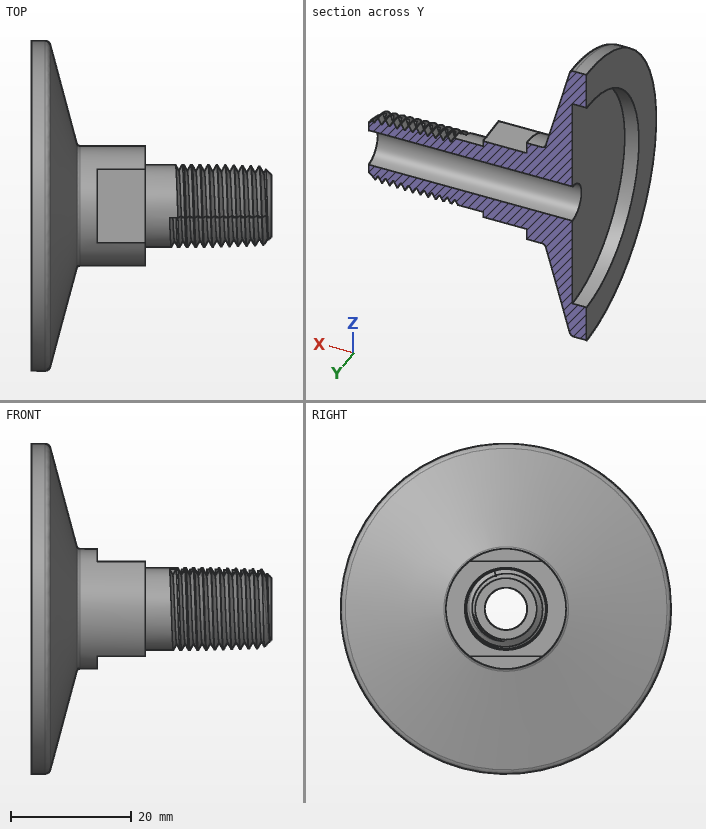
import cadquery as cq
import math


OVERALL_LENGTH = 40.0
FLANGE_DIAMETER = 55.0
RIM_WIDTH = 3.0
CONE_ANGLE = 15.0
RIM_FILLET = 1.0
HUB_FILLET = 0.5
RECESS_DIAMETER = 41.2
RECESS_DEPTH = 2.6
BORE_DIAMETER = 7.0
EDGE_SEARCH = 0.1

HUB_DIAMETER = 20.0
HUB_END_X = 19.0
FLATS_START_X = 11.0
ACROSS_FLATS = 15.8

STUB_DIAMETER = 13.72
TIP_CHAMFER = 1.75
THREAD_PITCH = 25.4 / 18
THREAD_TAPER = 1.0 / 32
THREAD_START_X = 23.55
THREAD_START_ANGLE = 17.0
THREAD_START_DEPTH = 0.94
THREAD_TURNS = 12
CREST_FLAT = 0.08
GROOVE_WALL = 0.02
GROOVE_HALF_ANGLE = 30.0

thread_root_radius = STUB_DIAMETER / 2 - THREAD_START_DEPTH


def groove_height(width):
    """Height of the thread V where it has the given width."""
    return width / 2 / math.tan(math.radians(GROOVE_HALF_ANGLE))


def circle_at(x):
    """Selector for the circular edge lying at this distance from the flange face."""
    return cq.selectors.BoxSelector(
        (x - EDGE_SEARCH, -FLANGE_DIAMETER, -FLANGE_DIAMETER),
        (x + EDGE_SEARCH, FLANGE_DIAMETER, FLANGE_DIAMETER),
        boundingbox=True,
    )


def make_flange_and_hub():
    """Revolve the rim, cone and hub, then round the two cone corners."""
    flange_radius = FLANGE_DIAMETER / 2
    hub_radius = HUB_DIAMETER / 2
    cone_end_x = RIM_WIDTH + (flange_radius - hub_radius) * math.tan(math.radians(CONE_ANGLE))
    body = (
        cq.Workplane("XY")
        .moveTo(0, 0)
        .lineTo(0, flange_radius)
        .lineTo(RIM_WIDTH, flange_radius)
        .lineTo(cone_end_x, hub_radius)
        .lineTo(HUB_END_X, hub_radius)
        .lineTo(HUB_END_X, 0)
        .close()
        .revolve(360, (0, 0, 0), (1, 0, 0))
    )
    body = body.edges(circle_at(cone_end_x)).fillet(HUB_FILLET)
    return body.edges(circle_at(RIM_WIDTH)).fillet(RIM_FILLET)


def cut_wrench_flats(body):
    """Mill the two flats on the +Z and -Z sides of the hub."""
    flat_length = HUB_END_X - FLATS_START_X
    for side in (1, -1):
        block = cq.Workplane("XY").box(flat_length, HUB_DIAMETER, HUB_DIAMETER).translate(
            (FLATS_START_X + flat_length / 2, 0, side * (ACROSS_FLATS + HUB_DIAMETER) / 2)
        )
        body = body.cut(block)
    return body


def make_stub_blank():
    """Stub that is straight, then follows the thread crests, then is chamfered."""
    stub_radius = STUB_DIAMETER / 2
    crest_height = groove_height(THREAD_PITCH - CREST_FLAT)
    taper_start_x = THREAD_START_X + (thread_root_radius + crest_height - stub_radius) / THREAD_TAPER
    tip_radius = stub_radius - (OVERALL_LENGTH - taper_start_x) * THREAD_TAPER
    blank = (
        cq.Workplane("XY")
        .moveTo(HUB_END_X, 0)
        .lineTo(HUB_END_X, stub_radius)
        .lineTo(taper_start_x, stub_radius)
        .lineTo(OVERALL_LENGTH, tip_radius)
        .lineTo(OVERALL_LENGTH, 0)
        .close()
        .revolve(360, (0, 0, 0), (1, 0, 0))
    )
    end_face_radius = stub_radius - TIP_CHAMFER
    chamfer_cone = (
        cq.Workplane("XY")
        .moveTo(HUB_END_X, 0)
        .lineTo(HUB_END_X, end_face_radius + OVERALL_LENGTH - HUB_END_X)
        .lineTo(OVERALL_LENGTH, end_face_radius)
        .lineTo(OVERALL_LENGTH, 0)
        .close()
        .revolve(360, (0, 0, 0), (1, 0, 0))
    )
    return blank.intersect(chamfer_cone)


def make_turn_cutter(start_distance):
    """One turn of the right-hand V groove, starting this far from the groove's closed end."""
    root_radius = thread_root_radius - start_distance * THREAD_TAPER
    mouth_half_width = THREAD_PITCH / 2 - GROOVE_WALL
    mouth_radius = root_radius + groove_height(2 * mouth_half_width)
    taper_angle = math.degrees(math.atan(THREAD_TAPER))
    path = cq.Wire.makeHelix(THREAD_PITCH, THREAD_PITCH, root_radius, angle=taper_angle)
    cutter = (
        cq.Workplane("XZ")
        .moveTo(root_radius, 0)
        .lineTo(mouth_radius, mouth_half_width)
        .lineTo(mouth_radius, -mouth_half_width)
        .close()
        .sweep(cq.Workplane(obj=path), isFrenet=True)
    )
    return (
        cutter.rotate((0, 0, 0), (0, 1, 0), -90)
        .rotate((0, 0, 0), (1, 0, 0), THREAD_START_ANGLE)
        .translate((THREAD_START_X + start_distance, 0, 0))
    )


def cut_thread(body):
    """Cut the groove turn by turn from its closed end; single turns cut more reliably."""
    for turn in range(1, THREAD_TURNS + 1):
        body = body.cut(make_turn_cutter(turn * THREAD_PITCH))
    return body


def cut_recess_and_bore(body):
    """Sink the recess into the flange face and drill the bore right through."""
    recess = cq.Workplane("YZ").circle(RECESS_DIAMETER / 2).extrude(RECESS_DEPTH)
    bore = cq.Workplane("YZ").circle(BORE_DIAMETER / 2).extrude(OVERALL_LENGTH)
    return body.cut(recess).cut(bore)


flange = cut_wrench_flats(make_flange_and_hub())
stub = cut_thread(make_stub_blank())
result = cut_recess_and_bore(flange.union(stub)).solids()